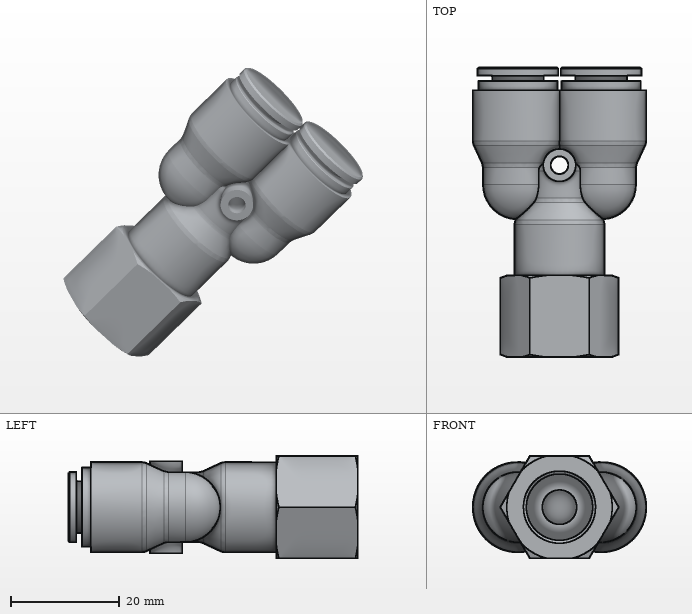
import cadquery as cq
import math


half_section = cq.Plane(origin=(0, 0, 0), xDir=(0, 0, -1), normal=(1, 0, 0))

hex_flats = 19.0
nut_length = 15.1
nut_face_diameter = 19.5
nut_chamfer_height = 0.5
thread_diameter = 12.3
thread_mouth_diameter = 13.35
thread_depth = 11.8
nut_passage_diameter = 6.4

barrel_diameter = 16.7
neck_diameter = 12.95
taper_length = 4.0
taper_blend_radius = 2.0
overall_width = 32.1
branch_offset = (overall_width - barrel_diameter) / 2
trunk_taper_start = 25.0
trunk_neck_end = 34.4
trunk_tip_radius = 1.35
branch_end = 49.35
branch_taper_start = 39.55
branch_neck_end = 31.95
boss_diameter = 6.0
boss_height = 17.05
boss_hole_diameter = 3.2
boss_position = 35.5

collar_diameter = 14.7
collar_end = 51.1
collar_chamfer = 0.1
stem_diameter = 9.6
flange_start = 52.05
overall_length = 53.6
flange_width = 15.0
flange_height = 13.0
flange_chamfer = 0.3
flange_root_radius = 0.1


def cylinder_along_y(diameter, start, end, x=0):
    """Solid cylinder parallel to Y between two Y positions."""
    base = cq.Workplane("XZ", origin=(x, start, 0))
    return base.circle(diameter / 2).extrude(start - end)


def revolve_about_y(profile):
    """Close a half-section profile and turn it fully about the Y axis."""
    return profile.close().revolve(360, (0, 0, 0), (0, 1, 0))


def make_barrel(base_end, taper_start, neck_end, tip_radius, direction):
    """Round barrel that tapers to a neck and closes with a rounded tip.

    The straight neck stops at neck_end, where the tip rounding begins. A tip radius
    equal to the neck radius makes a hemisphere; a smaller one leaves a flat in the middle.
    The barrel starts at base_end and runs along Y in the given direction (+1 or -1).
    """
    taper_end = taper_start + direction * taper_length
    barrel_radius = barrel_diameter / 2
    neck_radius = neck_diameter / 2
    tip_end = neck_end + direction * tip_radius
    flat_radius = neck_radius - tip_radius
    diagonal = tip_radius * math.sqrt(0.5)
    profile = (
        cq.Workplane(half_section)
        .moveTo(0, base_end)
        .lineTo(barrel_radius, base_end)
        .lineTo(barrel_radius, taper_start)
        .lineTo(neck_radius, taper_end)
        .lineTo(neck_radius, neck_end)
        .threePointArc(
            (flat_radius + diagonal, neck_end + direction * diagonal),
            (flat_radius, tip_end),
        )
    )
    if flat_radius > 0:
        profile = profile.lineTo(0, tip_end)
    barrel = revolve_about_y(profile)
    taper_edges = barrel.edges("%CIRCLE").filter(
        lambda edge: round(edge.Center().y, 3) in (round(taper_start, 3), round(taper_end, 3))
    )
    return barrel.newObject(taper_edges.vals()).fillet(taper_blend_radius)


def make_housing():
    """Trunk splitting into two domed branches, with a mounting eye in the crotch."""
    eye = cq.Workplane("XY", origin=(0, boss_position, 0))
    boss = eye.circle(boss_diameter / 2).extrude(boss_height / 2, both=True)
    hole = eye.circle(boss_hole_diameter / 2).extrude(boss_height, both=True)
    housing = make_barrel(nut_length, trunk_taper_start, trunk_neck_end, trunk_tip_radius, 1)
    branch = make_barrel(branch_end, branch_taper_start, branch_neck_end, neck_diameter / 2, -1)
    for side in (-1, 1):
        housing = housing.union(branch.translate((side * branch_offset, 0, 0)))
    return housing.union(boss).cut(hole)


def make_nut():
    """Hexagon with both ends chamfered, a threaded socket and a smaller passage behind it."""
    corner_diameter = hex_flats / math.cos(math.pi / 6)
    hexagon = cq.Workplane("XZ").polygon(6, corner_diameter).extrude(-nut_length)
    chamfer_envelope = revolve_about_y(
        cq.Workplane(half_section)
        .moveTo(0, 0)
        .lineTo(nut_face_diameter / 2, 0)
        .lineTo(corner_diameter / 2, nut_chamfer_height)
        .lineTo(corner_diameter / 2, nut_length - nut_chamfer_height)
        .lineTo(nut_face_diameter / 2, nut_length)
        .lineTo(0, nut_length)
    )
    mouth_chamfer = (thread_mouth_diameter - thread_diameter) / 2
    socket = revolve_about_y(
        cq.Workplane(half_section)
        .moveTo(0, 0)
        .lineTo(thread_mouth_diameter / 2, 0)
        .lineTo(thread_diameter / 2, mouth_chamfer)
        .lineTo(thread_diameter / 2, thread_depth)
        .lineTo(0, thread_depth)
    )
    passage = cylinder_along_y(nut_passage_diameter, thread_depth, nut_length)
    return hexagon.intersect(chamfer_envelope).cut(socket).cut(passage)


def make_collar(x):
    """Round collar seated on the end of a branch."""
    collar = cylinder_along_y(collar_diameter, branch_end, collar_end, x)
    return collar.faces(">Y").edges().chamfer(collar_chamfer)


def make_sleeve(x):
    """Release sleeve: a round stem carrying an oval flange."""
    stem = cylinder_along_y(stem_diameter, collar_end, flange_start, x)
    flange = (
        cq.Workplane("XZ", origin=(x, flange_start, 0))
        .ellipse(flange_width / 2, flange_height / 2)
        .extrude(flange_start - overall_length)
        .faces(">Y")
        .edges()
        .chamfer(flange_chamfer)
    )
    sleeve = stem.union(flange)
    point_on_root = (x, flange_start, stem_diameter / 2)
    root = sleeve.edges(cq.selectors.NearestToPointSelector(point_on_root))
    return root.fillet(flange_root_radius)


housing = make_housing()
nut = make_nut()
bodies = [housing.val(), nut.val()]
for side in (-1, 1):
    bodies.append(make_collar(side * branch_offset).val())
    bodies.append(make_sleeve(side * branch_offset).val())

result = cq.Compound.makeCompound(bodies)